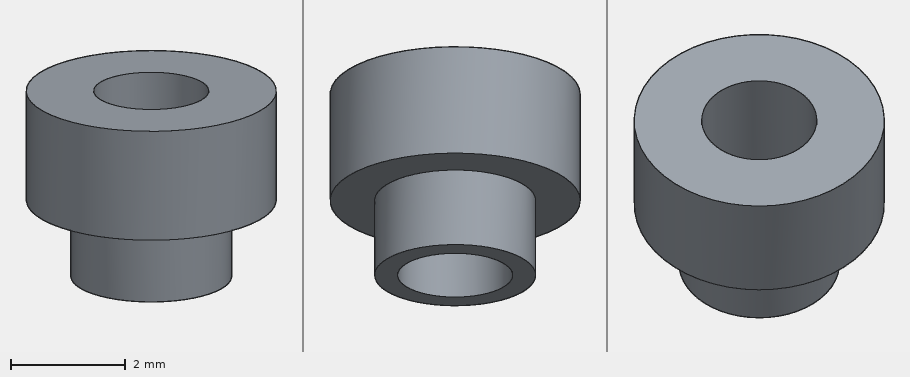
import cadquery as cq

head_diameter = 4.35
shank_diameter = 2.8
bore_diameter = 2.0
total_height = 3.4
head_height = 2.0
shank_height = total_height - head_height

shank = cq.Workplane("XY").circle(shank_diameter / 2).extrude(shank_height)

head = (
    cq.Workplane("XY")
    .workplane(offset=shank_height)
    .circle(head_diameter / 2)
    .extrude(head_height)
)

bore = cq.Workplane("XY").circle(bore_diameter / 2).extrude(total_height)

result = shank.union(head).cut(bore)